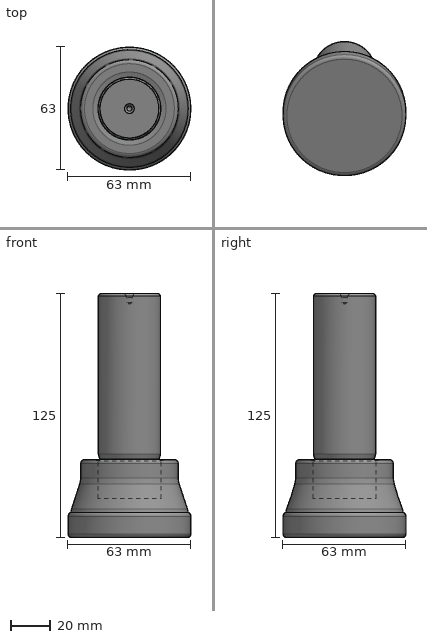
import cadquery as cq
import math

total_height = 125.0

foot_height = 40.0
base_radius = 31.5
bottom_round = 2.0
shoulder_start = 10.8
shoulder_round = 2.5
shoulder_end_radius = 30.1
flank_start = 14.6
flank_start_radius = 29.8
collar_radius = 25.0
collar_corner = 29.0
flank_blend = 10.0
collar_round = 2.0

dish_radius = 18.8
dish_depth = 0.6
socket_radius = 16.1
socket_floor = 20.0

shaft_radius = 16.0
top_chamfer_width = 1.0
top_chamfer_height = 1.2
neck_radius = 15.2
neck_top = 42.8
root_round = socket_radius - neck_radius
root_base = foot_height - dish_depth

center_radius = 2.5
pilot_radius = 1.2
pilot_depth = 2.5
countersink_angle = 60.0
drill_point_angle = 120.0


def cone_depth(wide_radius, narrow_radius, included_angle):
    """Axial length of a cone between two radii."""
    return (wide_radius - narrow_radius) / math.tan(math.radians(included_angle / 2))


def revolve_profile(profile):
    """Turn a half-section, drawn as radius and height, about the Z axis."""
    return profile.close().revolve(360, (0, 0, 0), (0, 1, 0))


def ring_at(height):
    """Select the circular edge lying at one height."""
    margin = 0.01
    reach = 2 * base_radius
    return cq.selectors.BoxSelector(
        (-reach, -reach, height - margin), (reach, reach, height + margin), boundingbox=True
    )


def shoulder_arc_point(sweep):
    """Point on the shoulder round, at an angle measured up from horizontal."""
    center = base_radius - shoulder_round
    return (center + shoulder_round * math.cos(sweep), shoulder_start + shoulder_round * math.sin(sweep))


def make_foot():
    shoulder_sweep = math.acos(1 - (base_radius - shoulder_end_radius) / shoulder_round)
    profile = (
        cq.Workplane("XZ")
        .moveTo(0, 0)
        .lineTo(base_radius, 0)
        .lineTo(base_radius, shoulder_start)
        .threePointArc(shoulder_arc_point(shoulder_sweep / 2), shoulder_arc_point(shoulder_sweep))
        .lineTo(flank_start_radius, flank_start)
        .lineTo(collar_radius, collar_corner)
        .lineTo(collar_radius, foot_height)
        .lineTo(dish_radius, foot_height)
        .lineTo(socket_radius, root_base)
        .lineTo(socket_radius, socket_floor)
        .lineTo(0, socket_floor)
    )
    foot = revolve_profile(profile)
    foot = foot.edges(ring_at(collar_corner)).fillet(flank_blend)
    foot = foot.edges(ring_at(0)).fillet(bottom_round)
    collar_rim = cq.selectors.RadiusNthSelector(-1)
    return foot.edges(ring_at(foot_height)).edges(collar_rim).fillet(collar_round)


def make_shaft():
    arc_inset = root_round * math.sqrt(0.5)
    root_mid = (socket_radius - arc_inset, root_base + root_round - arc_inset)
    countersink_depth = cone_depth(center_radius, pilot_radius, countersink_angle)
    pilot_bottom = total_height - countersink_depth - pilot_depth
    profile = (
        cq.Workplane("XZ")
        .moveTo(0, socket_floor)
        .lineTo(socket_radius, socket_floor)
        .lineTo(socket_radius, root_base)
        .threePointArc(root_mid, (neck_radius, root_base + root_round))
        .lineTo(shaft_radius, neck_top)
        .lineTo(shaft_radius, total_height - top_chamfer_height)
        .lineTo(shaft_radius - top_chamfer_width, total_height)
        .lineTo(center_radius, total_height)
        .lineTo(pilot_radius, total_height - countersink_depth)
        .lineTo(pilot_radius, pilot_bottom)
        .lineTo(0, pilot_bottom - cone_depth(pilot_radius, 0, drill_point_angle))
    )
    return revolve_profile(profile)


foot = make_foot()
shaft = make_shaft()
result = cq.Compound.makeCompound([foot.val(), shaft.val()])